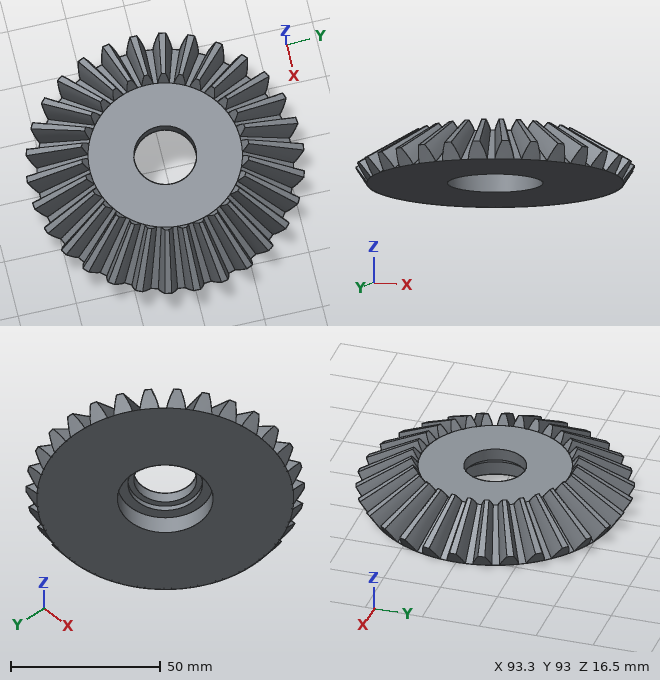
import math
import cadquery as cq

module = 3.0
tooth_count = 30
mate_tooth_count = 20
pressure_angle = math.radians(20)
addendum = module
root_clearance = 0.2 * module
dedendum = module + root_clearance
face_width = 21.6

bore_diameter = 21.0
relief_diameter = 25.0
relief_top = 9.0
seat_diameter = 32.0
seat_top = 7.0

pitch_angle = math.atan2(tooth_count, mate_tooth_count)
pitch_radius = module * tooth_count / 2
cone_distance = pitch_radius / math.sin(pitch_angle)
pitch_height = dedendum * math.sin(pitch_angle)
apex_height = pitch_height + pitch_radius / math.tan(pitch_angle)
small_end_scale = 1 - face_width / cone_distance

back_pitch_radius = pitch_radius / math.cos(pitch_angle)
base_radius = back_pitch_radius * math.cos(pressure_angle)
pitch_tooth_thickness = math.pi * module / 2
pitch_half_angle = pitch_tooth_thickness / (2 * back_pitch_radius)

raw_tip_excess = 0.5 * module
raw_outer_radius = back_pitch_radius + addendum + raw_tip_excess
raw_large_scale = 1.1
raw_small_scale = 0.9 * small_end_scale
flank_points = 7


def end_point(offset, scale=1.0):
    """(radius, height) on the end cone, offset from the pitch cone; scale 1 is the large end."""
    radius = pitch_radius + offset * math.cos(pitch_angle)
    height = pitch_height + offset * math.sin(pitch_angle)
    return (radius * scale, apex_height + (height - apex_height) * scale)


small_root_radius, hub_height = end_point(-dedendum, small_end_scale)


def revolved(points):
    """Solid of revolution about Z from an outline of (radius, height) points."""
    return cq.Workplane("XZ").polyline(points).close().revolve(360, (0, 0, 0), (0, 1, 0))


def make_core():
    """Frustum bounded by the root cone."""
    return revolved([(0, 0), end_point(-dedendum), (small_root_radius, hub_height), (0, hub_height)])


def make_blank():
    """Core plus the ring that the teeth fill, bounded by the tip cone and both end cones."""
    return revolved(
        [
            (0, 0),
            end_point(-dedendum),
            end_point(addendum),
            end_point(addendum, small_end_scale),
            (small_root_radius, hub_height),
            (0, hub_height),
        ]
    )


def involute(angle):
    """Polar angle of the involute at the given pressure angle."""
    return math.tan(angle) - angle


def flank(side):
    """Involute flank from base circle to raw outer radius, as (across, offset from pitch circle)."""
    points = []
    for i in range(flank_points):
        radius = base_radius + (raw_outer_radius - base_radius) * i / (flank_points - 1)
        roll_angle = math.acos(min(1.0, base_radius / radius))
        half_angle = pitch_half_angle + involute(pressure_angle) - involute(roll_angle)
        across = side * radius * math.sin(half_angle)
        points.append((across, radius * math.cos(half_angle) - back_pitch_radius))
    return points


def tooth_section(scale):
    """Tooth outline square to the pitch cone, shrunk towards the cone apex by scale."""
    radius, height = end_point(0, scale)
    plane = cq.Plane(
        origin=(radius, 0, height),
        xDir=(0, 1, 0),
        normal=(math.sin(pitch_angle), 0, -math.cos(pitch_angle)),
    )
    left = [(scale * u, scale * v) for u, v in flank(-1)]
    right = [(scale * u, scale * v) for u, v in reversed(flank(1))]
    outline = cq.Workplane(plane).moveTo(*left[0]).spline(left[1:], includeCurrent=True)
    outline = outline.lineTo(*right[0]).spline(right[1:], includeCurrent=True).close()
    return outline.val()


def make_tooth(blank):
    """One tooth on the +X side, trimmed to the blank."""
    sections = [tooth_section(raw_large_scale), tooth_section(raw_small_scale)]
    raw_tooth = cq.Solid.makeLoft(sections, True)
    return blank.intersect(cq.Workplane(raw_tooth))


def make_gear():
    gear = make_core()
    tooth = make_tooth(make_blank())
    for i in range(tooth_count):
        gear = gear.union(tooth.rotate((0, 0, 0), (0, 0, 1), 360 * i / tooth_count))
    return gear


def cut_bore(gear):
    """Cut the through bore and the two wider steps below it."""
    steps = [
        (bore_diameter, hub_height),
        (relief_diameter, relief_top),
        (seat_diameter, seat_top),
    ]
    for diameter, height in steps:
        gear = gear.cut(cq.Workplane("XY").circle(diameter / 2).extrude(height))
    return gear


result = cut_bore(make_gear())